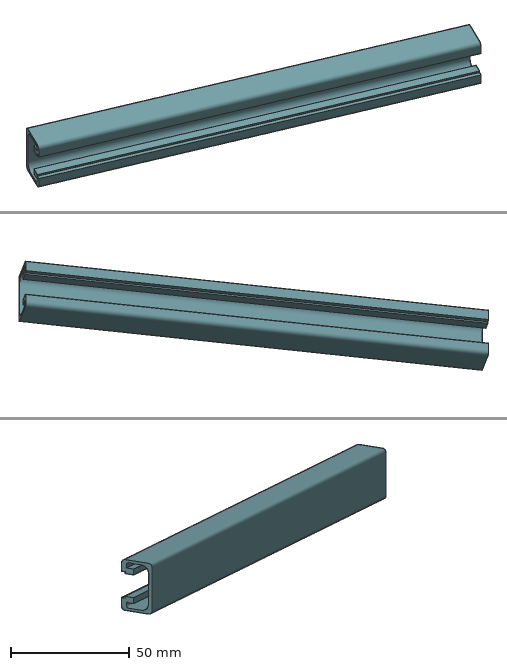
import cadquery as cq

length = 200.0
width = 15.0
height = 22.5

back_wall = 1.8
flange_wall = 1.2
front_wall = 2.5
lip_reach = 6.0
lip_top_depth = 3.5
lip_thickness = 2.5
mouth_step_width = 1.8
mouth_step_depth = 0.8
outer_radius = 1.8
back_inner_radius = 3.5
front_inner_radius = 1.2

half_width = width / 2
half_length = length / 2
cavity_back = -half_width + back_wall
cavity_front = half_width - front_wall
cavity_height = height - 2 * flange_wall
slot_half_height = height / 2 - lip_top_depth - lip_thickness
lip_end = half_width - lip_reach
lip_outer_half_height = height / 2 - lip_top_depth


def bar(x_min, x_max, z_min, z_max):
    """Full-length rectangular bar between the given X and Z limits."""
    return cq.Workplane("XY").box(x_max - x_min, length, z_max - z_min, centered=False).translate(
        (x_min, -half_length, z_min)
    )


def outer_body():
    body = bar(-half_width, half_width, -height / 2, height / 2)
    return body.edges("|Y").fillet(outer_radius)


def cavity():
    """Hollow of the channel, with larger corner radii along the back wall."""
    hollow = bar(cavity_back, cavity_front, -cavity_height / 2, cavity_height / 2)
    hollow = hollow.edges("|Y and <X").fillet(back_inner_radius)
    return hollow.edges("|Y and >X").fillet(front_inner_radius)


def lip(side):
    """Inturned lip above (side = 1) or below (side = -1) the mouth."""
    z_limits = sorted((side * slot_half_height, side * lip_outer_half_height))
    return bar(lip_end, half_width, *z_limits)


def mouth():
    """Slot between the lips, widened by a step at the front face."""
    front_half_height = slot_half_height + mouth_step_depth
    step_back = half_width - mouth_step_width
    corners = [
        (lip_end, -slot_half_height),
        (step_back, -slot_half_height),
        (step_back, -front_half_height),
        (half_width, -front_half_height),
        (half_width, front_half_height),
        (step_back, front_half_height),
        (step_back, slot_half_height),
        (lip_end, slot_half_height),
    ]
    return cq.Workplane("XZ").polyline(corners).close().extrude(half_length, both=True)


result = outer_body().cut(cavity())
for side in (1, -1):
    result = result.union(lip(side))
result = result.cut(mouth())